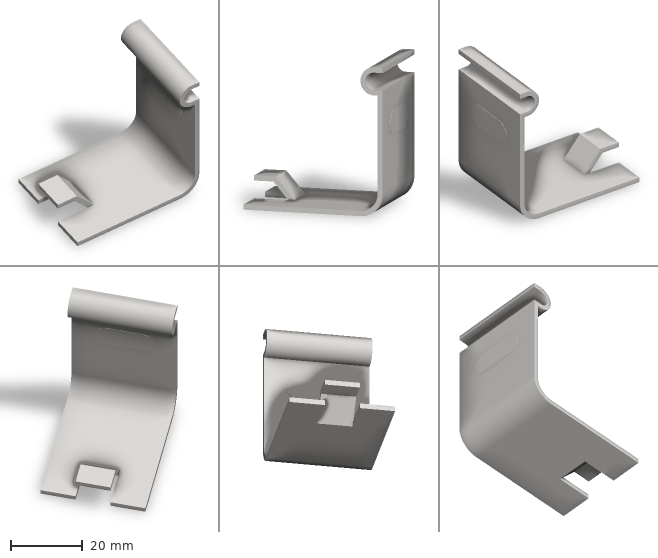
import cadquery as cq

width = 30.0
height = 42.5
thickness = 1.5
pad_relief = 0.1
depth = 40.8 - pad_relief

bend_outer_radius = 6.5
bend_inner_radius = bend_outer_radius - thickness

hook_outer_radius = 4.0
hook_inner_radius = hook_outer_radius - thickness
hook_lip = 2.5

tab_width = 10.0
tab_top = 8.0
tab_flat_length = 6.35
tab_under_length = 5.6
tab_slope_run = 5.6

pad_length = 17.0
pad_height = 7.0
pad_center_z = 25.5

wall_front = depth - thickness
hook_center_y = depth - hook_lip
hook_center_z = height - hook_outer_radius
hook_bottom = height - 2 * hook_outer_radius


def extrude_across(profile, length):
    """Extrude a YZ profile symmetrically about X = 0."""
    return profile.extrude(length / 2, both=True)


def make_sheet():
    profile = (
        cq.Workplane("YZ")
        .moveTo(0, 0)
        .lineTo(depth - bend_outer_radius, 0)
        .radiusArc((depth, bend_outer_radius), -bend_outer_radius)
        .lineTo(depth, hook_bottom + thickness)
        .lineTo(hook_center_y, hook_bottom + thickness)
        .threePointArc(
            (hook_center_y - hook_inner_radius, hook_center_z),
            (hook_center_y, height - thickness),
        )
        .lineTo(depth, height - thickness)
        .lineTo(depth, height)
        .lineTo(hook_center_y, height)
        .threePointArc(
            (hook_center_y - hook_outer_radius, hook_center_z),
            (hook_center_y, hook_bottom),
        )
        .lineTo(wall_front, hook_bottom)
        .lineTo(wall_front, bend_outer_radius)
        .radiusArc((depth - bend_outer_radius, thickness), bend_inner_radius)
        .lineTo(0, thickness)
        .close()
    )
    return extrude_across(profile, width)


tab_underside = tab_top - thickness
slope = tab_slope_run / (tab_top - thickness)
notch_depth = tab_under_length + slope * tab_underside
tab_root = tab_flat_length + tab_slope_run


def make_notch():
    profile = cq.Workplane("YZ").polyline([
        (0, 0),
        (notch_depth, 0),
        (tab_under_length, tab_underside),
        (0, tab_underside),
    ]).close()
    return extrude_across(profile, tab_width)


def make_tab():
    profile = cq.Workplane("YZ").polyline([
        (0, tab_top),
        (tab_flat_length, tab_top),
        (tab_root, thickness),
        (tab_root, 0),
        (notch_depth, 0),
        (tab_under_length, tab_underside),
        (0, tab_underside),
    ]).close()
    return extrude_across(profile, tab_width)


def make_pad():
    return (
        cq.Workplane("XZ", origin=(0, depth + pad_relief, pad_center_z))
        .slot2D(pad_length, pad_height)
        .extrude(thickness + 2 * pad_relief)
    )


result = make_sheet().cut(make_notch()).union(make_tab()).union(make_pad())